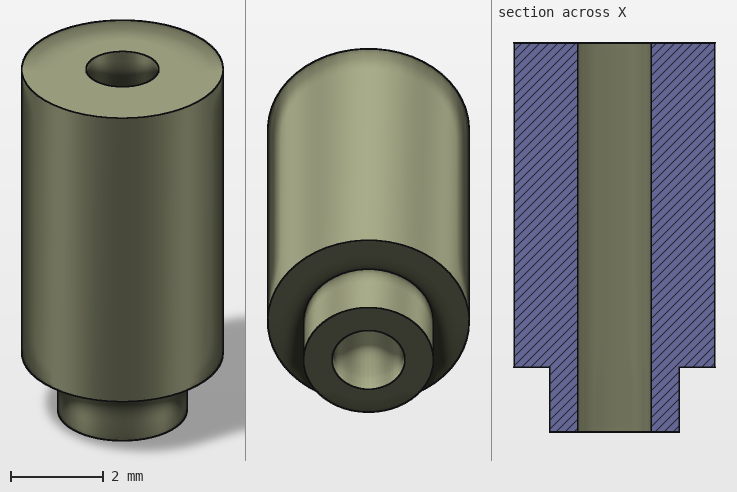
import cadquery as cq

body_diameter = 4.35
spigot_diameter = 2.8
bore_diameter = 1.57
total_length = 8.4
spigot_length = 1.4
body_length = total_length - spigot_length


def make_spigot():
    """Reduced-diameter spigot, standing on the XY plane."""
    return cq.Workplane("XY").circle(spigot_diameter / 2).extrude(spigot_length)


def make_body():
    """Main cylinder, sitting on top of the spigot."""
    base = cq.Workplane("XY").workplane(offset=spigot_length)
    return base.circle(body_diameter / 2).extrude(body_length)


def make_bore():
    """Cutter for the axial bore through the full length."""
    return cq.Workplane("XY").circle(bore_diameter / 2).extrude(total_length)


result = make_spigot().union(make_body()).cut(make_bore())